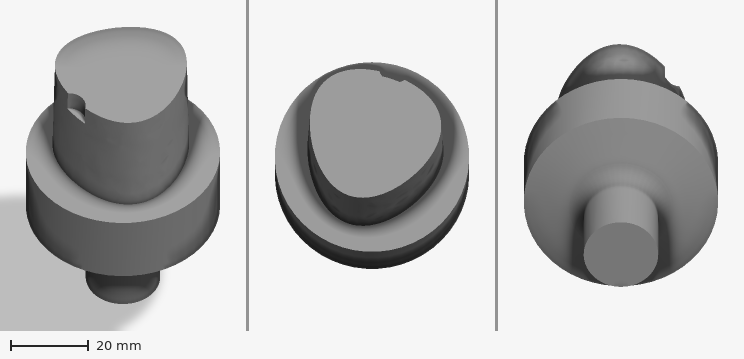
import cadquery as cq
import math

total_height = 77.0
stem_height = 19.0
collar_top = 47.0

collar_radius = 50.0 / 2
stem_radius = 19.2 / 2
blend_radius = 5.0
cone_angle = math.radians(15)

shank_base_radius = 17.5
shank_top_radius = 16.9
lobe_offset = 1.1
outline_point_count = 48

notch_depth = 5.7
notch_radius = 4.3
notch_back_y = -13.85


def turned_body():
    """Stem, concave blend, cone and collar as one revolved profile."""
    blend_center_r = stem_radius + blend_radius

    def blend_point(angle):
        return (
            blend_center_r - blend_radius * math.sin(angle),
            stem_height + blend_radius * math.cos(angle),
        )

    cone_start = blend_point(cone_angle)
    blend_middle = blend_point((cone_angle + math.pi / 2) / 2)
    collar_bottom = cone_start[1] + (collar_radius - cone_start[0]) * math.tan(cone_angle)
    return (
        cq.Workplane("XZ")
        .moveTo(0, 0)
        .lineTo(stem_radius, 0)
        .lineTo(stem_radius, stem_height)
        .threePointArc(blend_middle, cone_start)
        .lineTo(collar_radius, collar_bottom)
        .lineTo(collar_radius, collar_top)
        .lineTo(0, collar_top)
        .close()
        .revolve(360, (0, 0, 0), (0, 1, 0))
    )


def lobed_outline(mean_radius):
    """Points on a three-lobed trochoid with one lobe pointing along +Y."""
    points = []
    for index in range(outline_point_count):
        angle = 2 * math.pi * index / outline_point_count
        x = mean_radius * math.sin(angle) - lobe_offset * math.sin(2 * angle)
        y = mean_radius * math.cos(angle) + lobe_offset * math.cos(2 * angle)
        points.append((x, y))
    return points


def lobed_shank():
    return (
        cq.Workplane("XY", origin=(0, 0, collar_top))
        .spline(lobed_outline(shank_base_radius), periodic=True)
        .close()
        .workplane(offset=total_height - collar_top)
        .spline(lobed_outline(shank_top_radius), periodic=True)
        .close()
        .loft(ruled=True)
    )


def notch_cutter():
    return (
        cq.Workplane("XY", origin=(0, notch_back_y - notch_radius, total_height - notch_depth))
        .circle(notch_radius)
        .extrude(notch_depth)
    )


shank = lobed_shank().cut(notch_cutter())
result = turned_body().union(shank)